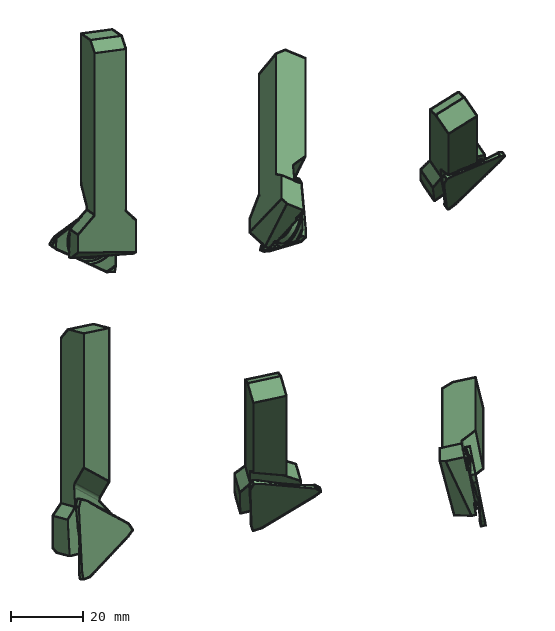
import cadquery as cq
import math

length = 69.95
shank_width = 9.45
top_chamfer = 2.95

head_front_y = -5.05
head_back_y = 12.5
head_bottom_z = 6.8
shoulder_z = 20.1

chamfer_slope = 0.62
chamfer_front_rise = 3.1
chamfer_back_rise = 1.05

insert_center = (1.14, 2.7, 11.1)
tilt = math.radians(5)
edge_slope = math.radians(30)

floor_depth = 2.0
relief_start = 10.0
relief_angle = math.radians(45)
relief_fillet = 1.55
pad_inradius = 5.8
pad_corner_distance = 6.65

inscribed_radius = 7.2
plate_thickness = 1.4
tip_point = (13.0, -0.4)
land_start = (11.55, 1.6)
step_radius = 11.1
tip_angles = (30, 150, 270)

hub_depth = 1.6
hub_radius = 5.1
groove_depth = 0.4
groove_inner_radius = 6.3
groove_outer_radius = 7.15
web_inner_radius = 7.85
web_inner_depth = 0.85
web_outer_radius = 11.6
web_outer_depth = 1.2

cutter_reach = 42.0
relief_reach = 21.0
overcut = 0.7

corner_tangent = math.tan(math.radians(30))
edge_direction = (0, -math.cos(edge_slope), -math.sin(edge_slope))
outward = (
    -math.cos(tilt),
    -math.sin(tilt) * math.sin(edge_slope),
    math.sin(tilt) * math.cos(edge_slope),
)
insert_plane = cq.Plane(origin=insert_center, xDir=edge_direction, normal=outward)


def around_tips(corner_points):
    """Repeat (radial, sideways) points of one corner at the three tip directions."""
    outline = []
    for degrees in tip_angles:
        cosine = math.cos(math.radians(degrees))
        sine = math.sin(math.radians(degrees))
        for radial, sideways in corner_points:
            outline.append((radial * cosine - sideways * sine, radial * sine + sideways * cosine))
    return outline


def make_shank():
    bar = cq.Workplane("XY", origin=(0, 0, head_bottom_z)).box(
        shank_width, shank_width, length - head_bottom_z, centered=False
    )
    return bar.faces(">Z").edges(">X").chamfer(top_chamfer)


def make_head():
    front_reach = -head_front_y
    back_reach = head_back_y - shank_width
    return (
        cq.Workplane("YZ")
        .moveTo(head_front_y, head_bottom_z)
        .lineTo(head_back_y, head_bottom_z)
        .lineTo(head_back_y, shoulder_z - back_reach)
        .lineTo(shank_width, shoulder_z)
        .lineTo(0, shoulder_z)
        .lineTo(head_front_y, shoulder_z - front_reach)
        .close()
        .extrude(shank_width)
    )


def make_seat_cutter():
    profile_plane = cq.Plane(
        origin=insert_plane.toWorldCoords((-cutter_reach, 0, 0)),
        xDir=insert_plane.yDir,
        normal=edge_direction,
    )
    cutter = (
        cq.Workplane(profile_plane)
        .moveTo(-cutter_reach, -floor_depth)
        .lineTo(relief_start, -floor_depth)
        .lineTo(relief_start + relief_reach / math.tan(relief_angle), relief_reach - floor_depth)
        .lineTo(-cutter_reach, relief_reach - floor_depth)
        .close()
        .extrude(2 * cutter_reach)
    )
    floor_corner = insert_plane.toWorldCoords((0, relief_start, -floor_depth))
    return cutter.edges(cq.selectors.NearestToPointSelector(floor_corner)).fillet(relief_fillet)


def make_seat_pad():
    half_corner = (2 * pad_inradius - pad_corner_distance) * corner_tangent
    outline = around_tips([(pad_corner_distance, -half_corner), (pad_corner_distance, half_corner)])
    pad = (
        cq.Workplane(insert_plane)
        .workplane(offset=-floor_depth)
        .polyline(outline)
        .close()
        .extrude(floor_depth - hub_depth)
    )
    below_head = cq.Workplane("XY", origin=(0, 0, head_bottom_z)).box(
        cutter_reach, cutter_reach, cutter_reach, centered=(True, True, False)
    ).translate((0, 0, -cutter_reach))
    return pad.cut(below_head)


def chamfer_section(y, rise):
    top_z = head_bottom_z + rise + overcut * chamfer_slope
    bottom_z = head_bottom_z - overcut
    outer_x = shank_width + overcut
    inner_x = outer_x - (top_z - bottom_z) / chamfer_slope
    corners = [
        cq.Vector(outer_x, y, top_z),
        cq.Vector(inner_x, y, bottom_z),
        cq.Vector(outer_x, y, bottom_z),
    ]
    return cq.Wire.makePolygon(corners, close=True)


def make_edge_chamfer_cutter():
    front = chamfer_section(head_front_y, chamfer_front_rise)
    back = chamfer_section(head_back_y, chamfer_back_rise)
    return cq.Workplane(cq.Solid.makeLoft([front, back], True))


def make_holder():
    blank = make_shank().union(make_head())
    seated = blank.cut(make_seat_cutter()).union(make_seat_pad())
    return seated.cut(make_edge_chamfer_cutter())


def make_plate():
    step_sideways = -(2 * inscribed_radius - step_radius) * corner_tangent
    outline = around_tips([(step_radius, step_sideways), tip_point, land_start])
    return cq.Workplane(insert_plane).polyline(outline).close().extrude(-plate_thickness)


def make_groove_cutter():
    section_plane = cq.Plane(origin=insert_center, xDir=edge_direction, normal=insert_plane.yDir)
    section = [
        (hub_radius, hub_depth),
        (groove_inner_radius, groove_depth),
        (groove_outer_radius, groove_depth),
        (web_inner_radius, web_inner_depth),
        (web_outer_radius, web_outer_depth),
        (web_outer_radius, hub_depth),
    ]
    return cq.Workplane(section_plane).polyline(section).close().revolve(360, (0, 0), (0, 1))


def make_insert():
    hub = cq.Workplane(insert_plane).circle(groove_inner_radius).extrude(-hub_depth)
    return make_plate().union(hub).cut(make_groove_cutter())


holder = make_holder()
insert = make_insert()
result = cq.Compound.makeCompound([holder.val(), insert.val()])